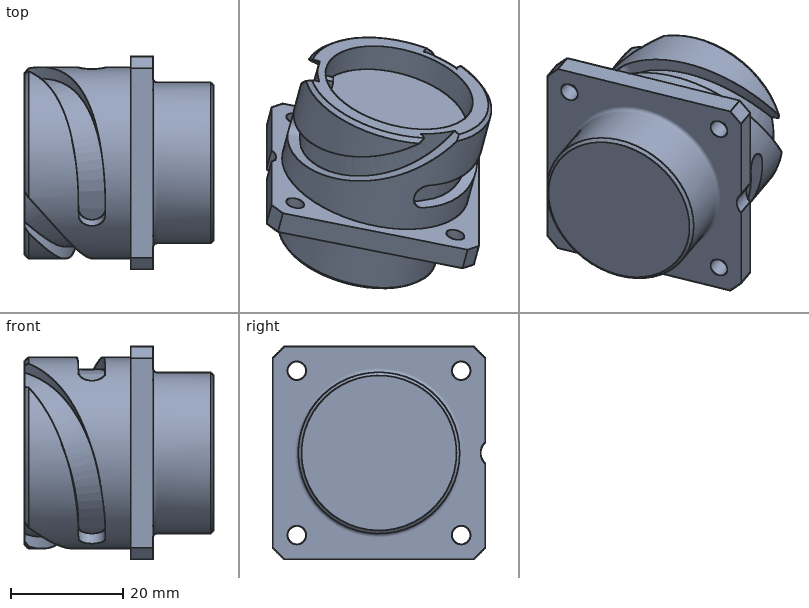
import cadquery as cq
import math

flange_side = 38.0
flange_thickness = 4.0
flange_corner_cut = 2.1
hole_offset = 14.65
hole_diameter = 3.25
notch_radius = 2.6
notch_depth = 0.85

barrel_radius = 17.1
barrel_length = 19.0
barrel_chamfer = 0.75

rear_radius = 14.4
rear_length = 10.83
rear_end_chamfer = 0.57
rear_neck_fillet = 0.7

bore_radius = 13.5
bore_depth = 4.95
key_width = 1.6
key_height = 1.67
key_length = 4.0
key_overlap = 0.38

slot_count = 3
slot_width = 4.8
slot_floor_radius = 14.95
slot_end_x = 12.1
slot_end_angle = -63.0
slot_sweep_angle = 122.5
slot_curve_power = 2.5
slot_steps = 26
slot_overrun_steps = 6
slot_step_power = 0.68
slot_cutter_clearance = 1.52

flange_back = barrel_length + flange_thickness
total_length = flange_back + rear_length
slot_cutter_top = barrel_radius + slot_cutter_clearance


def revolved_body():
    """Barrel and rear spigot, revolved about X."""
    profile = (
        cq.Workplane("XY")
        .moveTo(0, 0)
        .lineTo(0, barrel_radius - barrel_chamfer)
        .lineTo(barrel_chamfer, barrel_radius)
        .lineTo(barrel_length, barrel_radius)
        .lineTo(flange_back, rear_radius + rear_neck_fillet)
        .radiusArc((flange_back + rear_neck_fillet, rear_radius), -rear_neck_fillet)
        .lineTo(total_length - rear_end_chamfer, rear_radius)
        .lineTo(total_length, rear_radius - rear_end_chamfer)
        .lineTo(total_length, 0)
        .close()
    )
    return profile.revolve(360, (0, 0, 0), (1, 0, 0))


def flange():
    """Square flange with cut corners, four holes and a notch in its +Y edge."""
    notch_centre = flange_side / 2 - notch_depth + notch_radius
    plate = (
        cq.Workplane("YZ", origin=(barrel_length, 0, 0))
        .rect(flange_side, flange_side)
        .extrude(flange_thickness)
        .edges("|X")
        .chamfer(flange_corner_cut)
    )
    holes = (
        cq.Workplane("YZ", origin=(barrel_length, 0, 0))
        .rect(2 * hole_offset, 2 * hole_offset, forConstruction=True)
        .vertices()
        .circle(hole_diameter / 2)
        .extrude(flange_thickness)
    )
    notch = (
        cq.Workplane("YZ", origin=(barrel_length, 0, 0))
        .center(notch_centre, 0)
        .circle(notch_radius)
        .extrude(flange_thickness)
    )
    return plate.cut(holes).cut(notch)


def bore():
    """Blind bore in the mating face."""
    return cq.Workplane("YZ").circle(bore_radius).extrude(bore_depth)


def key():
    """Key on the +Y side of the bore, standing on the bore floor."""
    return (
        cq.Workplane("YZ", origin=(bore_depth, 0, 0))
        .center(bore_radius + (key_overlap - key_height) / 2, 0)
        .rect(key_height + key_overlap, key_width)
        .extrude(-key_length)
    )


def slot_section(turn):
    """Rectangular slot cross-section, square to the path.

    turn is measured in degrees about X from the centre of the round end. The path follows
    x = slot_end_x * (1 - (turn / slot_sweep_angle) ** slot_curve_power).
    """
    angle = math.radians(slot_end_angle + turn)
    fraction = turn / slot_sweep_angle
    x = slot_end_x * (1 - fraction**slot_curve_power)
    steepness = slot_curve_power * fraction ** (slot_curve_power - 1)
    slope = -slot_end_x * steepness / math.radians(slot_sweep_angle)
    radial = cq.Vector(0, -math.cos(angle), math.sin(angle))
    around = cq.Vector(0, math.sin(angle), math.cos(angle))
    path_direction = cq.Vector(slope, 0, 0) + around * slot_floor_radius
    half_width = path_direction.cross(radial).normalized() * (slot_width / 2)
    low = cq.Vector(x, 0, 0) + radial * slot_floor_radius
    high = cq.Vector(x, 0, 0) + radial * slot_cutter_top
    corners = [low - half_width, low + half_width, high + half_width, high - half_width]
    return cq.Wire.makePolygon(corners, close=True)


def slot_cutter():
    """One curved slot with its round end."""
    steps = range(slot_steps + slot_overrun_steps + 1)
    turns = [slot_sweep_angle * (step / slot_steps) ** slot_step_power for step in steps]
    channel = cq.Solid.makeLoft([slot_section(turn) for turn in turns], True)
    angle = math.radians(slot_end_angle)
    radial = cq.Vector(0, -math.cos(angle), math.sin(angle))
    round_end = cq.Solid.makeCylinder(
        slot_width / 2,
        slot_cutter_top - slot_floor_radius,
        cq.Vector(slot_end_x, 0, 0) + radial * slot_floor_radius,
        radial,
    )
    return cq.Workplane(channel).union(cq.Workplane(round_end))


result = revolved_body().union(flange()).cut(bore()).union(key())
first_slot = slot_cutter()
for index in range(slot_count):
    result = result.cut(first_slot.rotate((0, 0, 0), (1, 0, 0), index * 360 / slot_count))